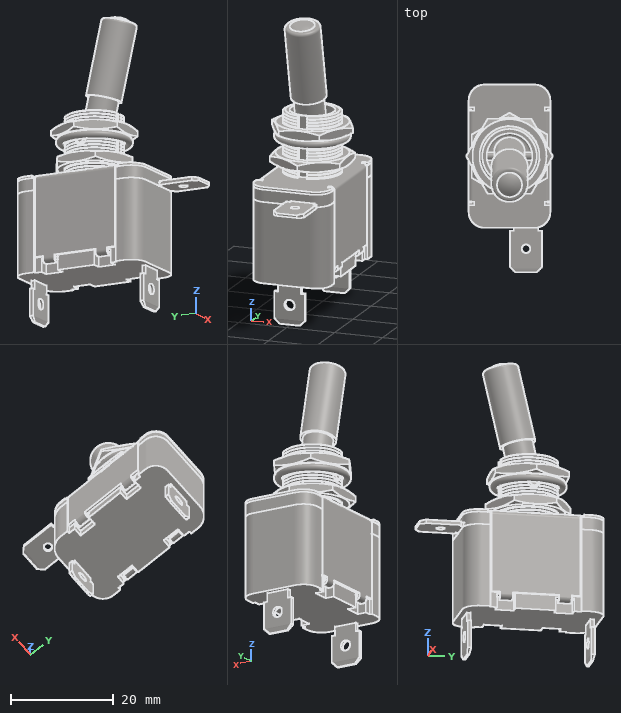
import cadquery as cq
import math


body_width = 16.0
body_length = 27.95
corner_radius = 3.15
base_height = 16.5
lid_height = 2.5
sheet_thickness = 0.55
plate_bottom = base_height + lid_height
plate_top = plate_bottom + sheet_thickness

flap_width = 17.7
flap_bottom = 3.05
bend_radius = 0.9
relief_length = 0.7
relief_depth = 1.15
recess_width = 18.1

tab_width = 2.5
tab_offset = 5.85
tab_reach = 1.45
tab_bottom = 1.7
pocket_width = 3.65
pocket_height = 2.7
pocket_depth = 2.4

thread_diameter = 11.7
thread_depth = 0.55
thread_count = 20
collar_height = 12.45
collar_top = plate_top + collar_height
bore_diameter = 8.9
bore_floor_radius = 0.6
key_width = 1.9
key_floor = 4.75

nut_corners = 16.95
nut_thickness = 2.0
nut_face_diameter = 14.4
nut_chamfer_height = 0.55
lower_nut_bottom = plate_top + 1.8
ring_section = 1.6
ring_outer_diameter = 15.1
upper_nut_bottom = plate_top + 8.05
ring_bottom = upper_nut_bottom - ring_section

pivot_height = 26.35
lever_tilt = 13.0
stem_diameter = 6.0
stem_end = -3.3
grip_diameter = 7.1
grip_start = 9.2
grip_end = 24.8
grip_edge_radius = 0.65
dome_diameter = 4.9
dome_height = 0.7
trunnion_diameter = 1.6
trunnion_head_diameter = 2.25
trunnion_neck_span = 9.3
trunnion_span = 11.75

blade_width = 6.3
blade_thickness = 0.8
blade_neck_width = 4.8
blade_root = 3.6
blade_taper = 1.1
blade_bevel_start = 0.035
lower_blade_offset = 12.3
side_blade_offset = 3.2


def rounded_block(bottom, height):
    block = cq.Workplane("XY").workplane(offset=bottom).rect(body_width, body_length).extrude(height)
    return block.edges("|Z").fillet(corner_radius)


def box_at(x_range, y_range, z_range):
    sizes = [high - low for low, high in (x_range, y_range, z_range)]
    corner = cq.Vector(x_range[0], y_range[0], z_range[0])
    return cq.Workplane(cq.Solid.makeBox(*sizes, corner))


def mirrored_in_x(shape):
    return shape.union(shape.mirror("YZ"))



def blade(length, neck_length, hole_diameter, hole_distance, bevel_length, steep_length, bevel_depth):
    """Blade pointing down -Z, leaving the body at Z = 0, centred on X and Y.

    Both faces thin towards the tip: a shallow bevel, then a steeper one over steep_length.
    """
    half, neck = blade_width / 2, blade_neck_width / 2
    outline = [
        (neck, blade_root), (neck, -neck_length), (half, -neck_length), (half, -length + blade_taper),
        (half - blade_taper, -length),
    ]
    outline += [(-x, z) for x, z in reversed(outline)]
    body = cq.Workplane("XZ").polyline(outline).close().extrude(blade_thickness / 2, both=True)
    hole = cq.Workplane("XZ").center(0, -hole_distance).circle(hole_diameter / 2)
    body = body.cut(hole.extrude(blade_thickness, both=True))
    surface = blade_thickness / 2
    for side in (-1, 1):
        bevel = cq.Workplane("YZ").polyline([
            (side * surface, -length + bevel_length), (side * surface, -length),
            (side * (surface - bevel_depth), -length),
            (side * (surface - blade_bevel_start), -length + steep_length),
        ]).close().extrude(blade_width, both=True)
        body = body.cut(bevel)
    return body


def lower_terminal(y):
    terminal = blade(
        length=8.3, neck_length=1.7, hole_diameter=2.1, hole_distance=4.25,
        bevel_length=blade_taper, steep_length=0.9, bevel_depth=0.2,
    )
    return terminal.translate((0, y, 0))


def side_terminal():
    """Blade pointing along -Y, lying on the seam between base and lid."""
    terminal = blade(
        length=8.65, neck_length=0.55, hole_diameter=1.6, hole_distance=4.05,
        bevel_length=0.7, steep_length=0.35, bevel_depth=0.1,
    ).rotate((0, 0, 0), (1, 0, 0), -90)
    return terminal.translate((side_blade_offset, -body_length / 2, base_height + blade_thickness / 2))



def bent_sheet(free_end, outer_level, reach, width):
    """Strip up the -X side face from Z = free_end, bent inward so its outer face ends level at outer_level."""
    face = -body_width / 2
    inward = math.copysign(1, free_end - outer_level)
    inner_radius = bend_radius - sheet_thickness
    center_x = face + bend_radius
    center_z = outer_level + inward * bend_radius
    inner_level = outer_level + inward * sheet_thickness
    outer_mid = bend_radius * math.sqrt(0.5)
    inner_mid = inner_radius * math.sqrt(0.5)
    return (
        cq.Workplane("XZ")
        .moveTo(face, free_end)
        .lineTo(face, center_z)
        .threePointArc((center_x - outer_mid, center_z - inward * outer_mid), (center_x, outer_level))
        .lineTo(face + reach, outer_level)
        .lineTo(face + reach, inner_level)
        .lineTo(center_x, inner_level)
        .threePointArc(
            (center_x - inner_mid, center_z - inward * inner_mid), (face + sheet_thickness, center_z)
        )
        .lineTo(face + sheet_thickness, free_end)
        .close()
        .extrude(width / 2, both=True)
    )


def flap():
    """Flap on the -X side: bent down from the plate, with two tabs bent inward below it."""
    sheet = bent_sheet(flap_bottom, plate_top, relief_depth, flap_width)
    tab = bent_sheet(flap_bottom, tab_bottom, tab_reach, tab_width)
    for y in (-tab_offset, tab_offset):
        sheet = sheet.union(tab.translate((0, y, 0)))
    return sheet


def collar():
    crest = thread_diameter / 2
    root = crest - thread_depth
    pitch = collar_height / thread_count
    outline = [(0, plate_bottom), (crest, plate_bottom), (crest, plate_top)]
    for turn in range(thread_count):
        start = plate_top + turn * pitch
        outline += [(crest, start + pitch / 2), (root, start + pitch)]
    outline.append((0, collar_top))
    post = cq.Workplane("XZ").polyline(outline).close().revolve(360, (0, 0, 0), (0, 1, 0))

    bore = cq.Workplane("XY").workplane(offset=plate_top).circle(bore_diameter / 2).extrude(collar_height)
    post = post.cut(bore.faces("<Z").edges().fillet(bore_floor_radius))
    keyway = box_at((-key_width / 2, key_width / 2), (-thread_diameter, -key_floor), (plate_top, collar_top))
    return post.cut(keyway)


def make_bracket():
    plate = rounded_block(plate_bottom, sheet_thickness)
    notch_half = flap_width / 2 + relief_length
    face = -body_width / 2
    notch = box_at((face, face + relief_depth), (-notch_half, notch_half), (plate_bottom, plate_top))
    plate = plate.cut(mirrored_in_x(notch))
    return plate.union(mirrored_in_x(flap())).union(collar()).cut(trunnions())



def flap_recesses():
    face = -body_width / 2
    half = recess_width / 2
    return mirrored_in_x(box_at((face, face + sheet_thickness), (-half, half), (0, plate_bottom)))


def tab_pockets():
    face = -body_width / 2
    pocket = box_at((face, face + pocket_depth), (-pocket_width / 2, pocket_width / 2), (0, pocket_height))
    pockets = pocket.translate((0, -tab_offset, 0)).union(pocket.translate((0, tab_offset, 0)))
    return mirrored_in_x(pockets)



def nut(bottom, turn):
    """Hexagon nut with a corner on +X before it is turned by the given degrees about Z."""
    hexagon = cq.Workplane("XY").polygon(6, nut_corners).circle(thread_diameter / 2).extrude(nut_thickness)
    corner, face = nut_corners / 2, nut_face_diameter / 2
    chamfer_envelope = cq.Workplane("XZ").polyline([
        (0, 0), (face, 0), (corner, nut_chamfer_height), (corner, nut_thickness - nut_chamfer_height),
        (face, nut_thickness), (0, nut_thickness),
    ]).close().revolve(360, (0, 0, 0), (0, 1, 0))
    return hexagon.intersect(chamfer_envelope).rotate((0, 0, 0), (0, 0, 1), turn).translate((0, 0, bottom))


def make_ring():
    section_radius = ring_section / 2
    section = cq.Workplane("XZ").center(ring_outer_diameter / 2 - section_radius, ring_bottom + section_radius)
    axis_offset = section_radius - ring_outer_diameter / 2
    return section.circle(section_radius).revolve(360, (axis_offset, 0, 0), (axis_offset, 1, 0))



def trunnions():
    """Cross axle along X through the pivot; thicker in the collar wall, bevelled at its ends."""
    axle = trunnion_diameter / 2
    head = trunnion_head_diameter / 2
    bevel = head - axle
    step, end = trunnion_neck_span / 2, trunnion_span / 2
    outline = [(-end, 0), (-end, axle), (bevel - end, head), (-step, head), (-step, axle)]
    outline += [(-x, r) for x, r in reversed(outline)]
    axle_body = cq.Workplane("XY").polyline(outline).close().revolve(360, (0, 0, 0), (1, 0, 0))
    return axle_body.translate((0, 0, pivot_height))


def make_lever():
    stem, grip, dome = stem_diameter / 2, grip_diameter / 2, dome_diameter / 2
    edge_x, edge_z = grip - grip_edge_radius, grip_end - grip_edge_radius
    edge_mid = grip_edge_radius * math.sqrt(0.5)
    dome_radius = (dome**2 + dome_height**2) / (2 * dome_height)
    half_dome = dome / 2
    half_dome_height = math.sqrt(dome_radius**2 - half_dome**2) - (dome_radius - dome_height)
    handle = (
        cq.Workplane("XZ")
        .moveTo(0, stem_end)
        .lineTo(stem, stem_end)
        .lineTo(stem, grip_start)
        .lineTo(grip, grip_start)
        .lineTo(grip, edge_z)
        .threePointArc((edge_x + edge_mid, edge_z + edge_mid), (edge_x, grip_end))
        .lineTo(dome, grip_end)
        .threePointArc((half_dome, grip_end + half_dome_height), (0, grip_end + dome_height))
        .close()
        .revolve(360, (0, 0, 0), (0, 1, 0))
    )
    handle = handle.rotate((0, 0, 0), (1, 0, 0), lever_tilt).translate((0, 0, pivot_height))
    return handle.union(trunnions())


lower_terminals = [lower_terminal(y) for y in (-lower_blade_offset, lower_blade_offset)]
side_blade = side_terminal()
bracket = make_bracket()
base = rounded_block(0, base_height).cut(flap_recesses()).cut(tab_pockets())
for terminal in lower_terminals:
    base = base.cut(terminal)
lid = rounded_block(base_height, lid_height).cut(flap_recesses()).cut(bracket).cut(side_blade)
nuts = [nut(bottom, turn) for bottom, turn in ((lower_nut_bottom, 30), (upper_nut_bottom, 0))]
ring = make_ring()
lever = make_lever()

result = cq.Compound.makeCompound([
    base.val(), lid.val(), bracket.val(), ring.val(), lever.val(), side_blade.val(),
    *[terminal.val() for terminal in lower_terminals],
    *[hex_nut.val() for hex_nut in nuts],
])